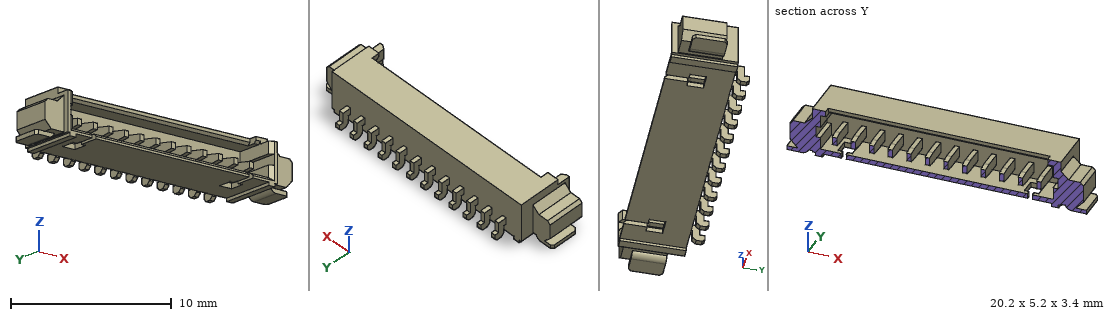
import cadquery as cq
import math

PIN_COUNT = 12
PIN_PITCH = 1.25
PIN_WIDTH = 0.32
PIN_TIP_Y = 0.69
PIN_TAPER = 1.05
PIN_LOW, PIN_HIGH = 1.0, 1.73
TIP_LOW, TIP_HIGH = 1.13, 1.55

TAIL_LOW, TAIL_HIGH = 0.83, 1.37
LEG_INNER_Y, LEG_OUTER_Y = 4.41, 4.88
TAIL_END_Y = 5.2
FOOT_THICKNESS = 0.55
TOE_CHAMFER = 0.18
HEEL_CHAMFER = 0.22

HALF_WIDTH = 8.36
DEPTH = 4.21
TOP = 3.4
BOTTOM = 0.22
SHOULDER_Z = 2.98
SHOULDER_DEPTH = 0.99
ROOF_SETBACK = 1.6
ROOF_NOTCH_HALF = 7.45

CAVITY_HALF = 7.82
CAVITY_DEPTH = 3.0
FLOOR_Z = 0.58
GROOVE_HALF = 8.12
GROOVE_LOW, GROOVE_HIGH = 1.41, 2.14
MOUTH_DEPTH = 0.2
MOUTH_FLOOR_Z = 0.38
ROOF_CHAMFER = 0.18

SLOT_X = 6.27
SLOT_STEM_WIDTH = 0.32
SLOT_HEAD_WIDTH = 0.97
SLOT_HEAD_FRONT = 1.47
SLOT_HEAD_BACK = 2.52

RUNNER_INNER, RUNNER_OUTER = 7.7, 8.18

EAR_FRONT, EAR_BACK = 0.38, 3.18
EAR_OUTER = 9.87
EAR_SHOULDER = 8.89
EAR_TOP = 2.24
EAR_ROOT_TOP = 2.72
EAR_EDGE = 0.22
EAR_FLAT_LOW = 0.83
EAR_BASE_X = 9.39
TAB_FRONT = 0.99
TAB_OUTER = 10.08
TAB_THICKNESS = 0.3
TAB_CORNER = 0.18
TAB_BEND_X = 9.07
TAB_BEND_RADIUS = 0.46


def block(x0, x1, y0, y1, z0, z1):
    """Box given by its limits along each axis."""
    return cq.Workplane("XY").box(x1 - x0, y1 - y0, z1 - z0, centered=False).translate((x0, y0, z0))


def side_profile(points, half_width):
    """Extrude a (Y, Z) outline symmetrically about X = 0."""
    return cq.Workplane("YZ").polyline(points).close().extrude(half_width, both=True)


def end_profile(points, y_front, y_back):
    """Extrude an (X, Z) outline from y_front to y_back."""
    plane = cq.Workplane("XZ", origin=(0, y_front, 0))
    return plane.polyline(points).close().extrude(y_front - y_back)


def make_mouth():
    """Flared entry of the cavity: the floor and both sides open towards the front."""
    outline = [
        (-GROOVE_HALF, 0),
        (GROOVE_HALF, 0),
        (CAVITY_HALF, MOUTH_DEPTH),
        (-CAVITY_HALF, MOUTH_DEPTH),
    ]
    plan = cq.Workplane("XY").polyline(outline).close().extrude(SHOULDER_Z)
    section = [(0, MOUTH_FLOOR_Z), (MOUTH_DEPTH, FLOOR_Z), (MOUTH_DEPTH, SHOULDER_Z), (0, SHOULDER_Z)]
    return plan.intersect(side_profile(section, GROOVE_HALF))


def make_housing():
    """Housing with its cavity, stepped roof, floor slots and runners."""
    body = block(-HALF_WIDTH, HALF_WIDTH, 0, DEPTH, BOTTOM, TOP)

    body = body.cut(block(-HALF_WIDTH, HALF_WIDTH, 0, SHOULDER_DEPTH, SHOULDER_Z, TOP))
    body = body.cut(block(-ROOF_NOTCH_HALF, ROOF_NOTCH_HALF, 0, ROOF_SETBACK, SHOULDER_Z, TOP))

    body = body.cut(block(-CAVITY_HALF, CAVITY_HALF, 0, CAVITY_DEPTH, FLOOR_Z, SHOULDER_Z))
    body = body.cut(block(-GROOVE_HALF, GROOVE_HALF, 0, CAVITY_DEPTH, GROOVE_LOW, GROOVE_HIGH))
    body = body.cut(make_mouth())

    for edge_y, half_width in ((SHOULDER_DEPTH, CAVITY_HALF), (ROOF_SETBACK, ROOF_NOTCH_HALF)):
        bevel = [
            (edge_y, SHOULDER_Z),
            (edge_y + ROOF_CHAMFER, SHOULDER_Z),
            (edge_y, SHOULDER_Z + ROOF_CHAMFER),
        ]
        body = body.cut(side_profile(bevel, half_width))

    half_stem = SLOT_STEM_WIDTH / 2
    half_head = SLOT_HEAD_WIDTH / 2
    for x in (-SLOT_X, SLOT_X):
        body = body.cut(block(x - half_stem, x + half_stem, 0, SLOT_HEAD_FRONT, BOTTOM, FLOOR_Z))
        body = body.cut(block(x - half_head, x + half_head, SLOT_HEAD_FRONT, SLOT_HEAD_BACK, BOTTOM, FLOOR_Z))

    runner = block(RUNNER_INNER, RUNNER_OUTER, 0, DEPTH, 0, BOTTOM)
    return body.union(runner).union(runner.mirror("YZ"))


def make_pin():
    """Contact blade with a tapered tip, and the tail behind the housing down to the soldering plane."""
    taper_end = PIN_TIP_Y + PIN_TAPER
    blade = side_profile(
        [
            (PIN_TIP_Y, TIP_LOW),
            (taper_end, PIN_LOW),
            (CAVITY_DEPTH, PIN_LOW),
            (CAVITY_DEPTH, PIN_HIGH),
            (taper_end, PIN_HIGH),
            (PIN_TIP_Y, TIP_HIGH),
        ],
        PIN_WIDTH / 2,
    )
    tail = side_profile(
        [
            (DEPTH, TAIL_HIGH),
            (LEG_OUTER_Y, TAIL_HIGH),
            (LEG_OUTER_Y, FOOT_THICKNESS),
            (TAIL_END_Y, FOOT_THICKNESS),
            (TAIL_END_Y, TOE_CHAMFER),
            (TAIL_END_Y - TOE_CHAMFER, 0),
            (LEG_INNER_Y + HEEL_CHAMFER, 0),
            (LEG_INNER_Y, HEEL_CHAMFER),
            (LEG_INNER_Y, TAIL_LOW),
            (DEPTH, TAIL_LOW),
        ],
        PIN_WIDTH / 2,
    )
    return blade, tail


def tab_bend_point(angle):
    """Point (X, Z) on the tab's curled underside, at an angle from its start on the soldering plane."""
    x = TAB_BEND_X - TAB_BEND_RADIUS * math.sin(angle)
    z = TAB_BEND_RADIUS * (1 - math.cos(angle))
    return x, z


def make_ear():
    """Ear on the +X end with the solder tab below it."""
    ear = end_profile(
        [
            (HALF_WIDTH, EAR_ROOT_TOP),
            (EAR_SHOULDER, EAR_TOP),
            (EAR_OUTER - EAR_EDGE, EAR_TOP),
            (EAR_OUTER, EAR_TOP - EAR_EDGE),
            (EAR_OUTER, EAR_FLAT_LOW),
            (EAR_BASE_X, TAB_THICKNESS),
            (HALF_WIDTH, TAB_THICKNESS),
        ],
        EAR_FRONT,
        EAR_BACK,
    )
    bend_angle = math.acos(1 - TAB_THICKNESS / TAB_BEND_RADIUS)

    tab = (
        cq.Workplane("XZ", origin=(0, TAB_FRONT, 0))
        .moveTo(TAB_BEND_X, 0)
        .threePointArc(tab_bend_point(bend_angle / 2), tab_bend_point(bend_angle))
        .lineTo(TAB_OUTER, TAB_THICKNESS)
        .lineTo(TAB_OUTER, 0)
        .close()
        .extrude(TAB_FRONT - EAR_BACK)
    )
    tab = tab.edges("|Z and >X").chamfer(TAB_CORNER)
    return ear.union(tab)


result = make_housing()

blade, tail = make_pin()
first_pin_x = -PIN_PITCH * (PIN_COUNT - 1) / 2
for i in range(PIN_COUNT):
    offset = (first_pin_x + i * PIN_PITCH, 0, 0)
    result = result.union(blade.translate(offset)).union(tail.translate(offset))

ear = make_ear()
result = result.union(ear).union(ear.mirror("YZ"))